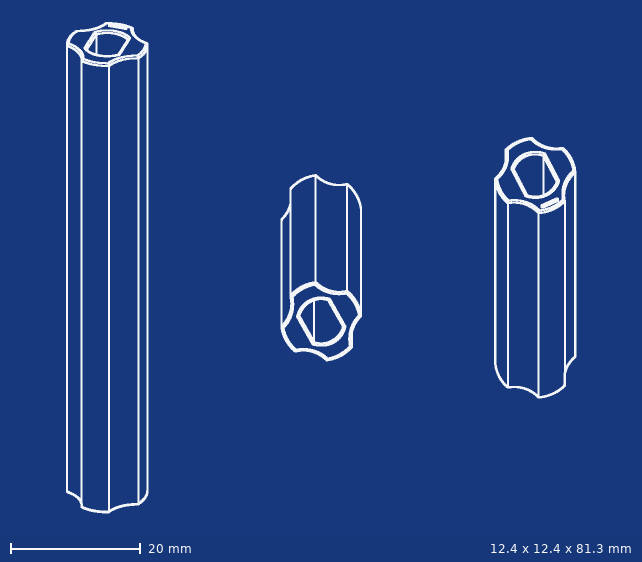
import cadquery as cq
import math

length = 81.25
outer_diameter = 12.4
outer_radius = outer_diameter / 2

lobe_width = 4.5
flute_floor_diameter = 10.0

bore_diameter = 7.0
bore_flat_width = 5.1

end_chamfer = 0.3

mark_length = 2.8
mark_width = 0.3
mark_depth = 0.25
mark_offset = 5.1


def polar(radius, degrees):
    """Point at the given distance and direction from the tube axis."""
    angle = math.radians(degrees)
    return radius * math.cos(angle), radius * math.sin(angle)


def fluted_bar():
    """Solid bar with four round lobes joined by concave flutes, chamfered at both ends."""
    lobe_half_angle = math.degrees(math.asin(lobe_width / outer_diameter))
    outline = cq.Workplane("XY").moveTo(*polar(outer_radius, -lobe_half_angle))
    for direction in (0, 90, 180, 270):
        lobe_end = polar(outer_radius, direction + lobe_half_angle)
        flute_middle = polar(flute_floor_diameter / 2, direction + 45)
        flute_end = polar(outer_radius, direction + 90 - lobe_half_angle)
        outline = outline.threePointArc(polar(outer_radius, direction), lobe_end)
        outline = outline.threePointArc(flute_middle, flute_end)
    return outline.close().extrude(length).faces("<Z or >Z").chamfer(end_chamfer)


def cut_bore(bar):
    """Cut the double-D through bore and chamfer its rim at both ends."""
    cylinder = cq.Workplane("XY").circle(bore_diameter / 2).extrude(length)
    flats = cq.Workplane("XY").rect(bore_flat_width, bore_diameter).extrude(length)
    tube = bar.cut(cylinder.intersect(flats))
    for end_face in ("<Z", ">Z"):
        rim = tube.faces(end_face).val().innerWires()[0]
        tube = tube.newObject(rim.Edges()).chamfer(end_chamfer)
    return tube


def alignment_mark():
    """Round-ended slot sunk into the top face."""
    top_plane = cq.Workplane("XY", origin=(0, mark_offset, length))
    return top_plane.slot2D(mark_length, mark_width).extrude(-mark_depth)


result = cut_bore(fluted_bar()).cut(alignment_mark())